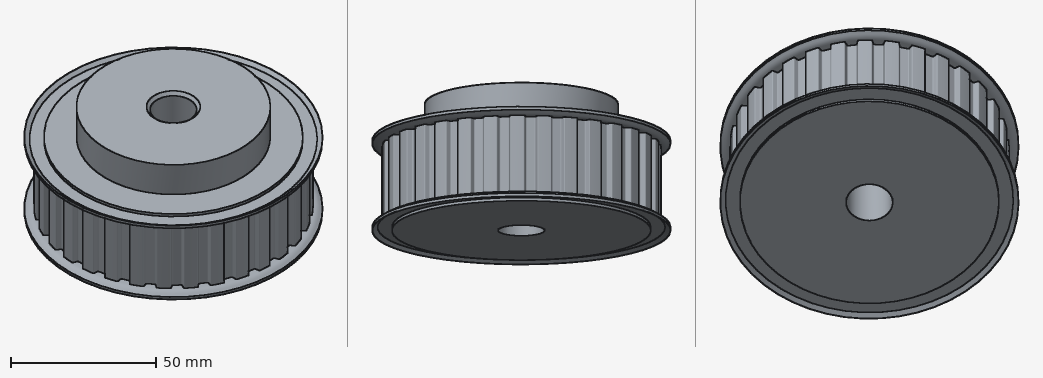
import cadquery as cq
import math

total_height = 44.5
rim_height = 31.7

tooth_count = 32
tooth_tip_radius = 48.1
groove_depth = 2.0
groove_floor_width = 3.2
groove_flank_angle = math.radians(20)
groove_edge_radius = 0.4

core_radius = 44.6
hub_radius = 33.4
bore_diameter = 16.0
bore_chamfer = 1.2

flange_radius = 51.4
flange_rim_thickness = 1.1
flange_recess = 1.1
flange_sheet_thickness = 1.2
dish_inner_radius = 49.5
flange_bend_radius = 3.6

flange_depth = flange_recess + flange_sheet_thickness
body_height = rim_height - 2 * flange_recess


def make_toothed_body():
    """Cylinder with evenly spaced belt grooves, one of them facing +X."""
    floor_radius = tooth_tip_radius - groove_depth
    floor_half = groove_floor_width / 2
    opening_radius = tooth_tip_radius + groove_depth
    opening_half = floor_half + 2 * groove_depth * math.tan(groove_flank_angle)
    groove = (
        cq.Workplane("XY")
        .polyline([
            (floor_radius, -floor_half),
            (opening_radius, -opening_half),
            (opening_radius, opening_half),
            (floor_radius, floor_half),
        ])
        .close()
        .extrude(body_height)
    )
    body = cq.Workplane("XY").circle(tooth_tip_radius).extrude(body_height)
    for index in range(tooth_count):
        body = body.cut(groove.rotate((0, 0, 0), (0, 0, 1), index * 360 / tooth_count))
    body = body.edges("|Z").fillet(groove_edge_radius)
    return body.translate((0, 0, flange_recess))


def make_flange():
    """Lower flange: flat ring with a rounded bend and a dished rim."""
    dish_angle = math.atan2(flange_recess, flange_radius - dish_inner_radius)
    corner_radius = flange_radius - (flange_depth - flange_rim_thickness) / math.tan(dish_angle)
    bend_setback = flange_bend_radius * math.tan(dish_angle / 2)
    bend_start = (
        corner_radius + bend_setback * math.cos(dish_angle),
        flange_depth - bend_setback * math.sin(dish_angle),
    )
    bend_end = (corner_radius - bend_setback, flange_depth)
    bend_middle = (
        bend_end[0] + flange_bend_radius * math.sin(dish_angle / 2),
        flange_depth - flange_bend_radius * (1 - math.cos(dish_angle / 2)),
    )
    return (
        cq.Workplane("XZ")
        .moveTo(0, flange_recess)
        .lineTo(dish_inner_radius, flange_recess)
        .lineTo(flange_radius, 0)
        .lineTo(flange_radius, flange_rim_thickness)
        .lineTo(*bend_start)
        .threePointArc(bend_middle, bend_end)
        .lineTo(0, flange_depth)
        .close()
        .revolve(360, (0, 0, 0), (0, 1, 0))
    )


def make_bore():
    """Through bore, chamfered at the hub face."""
    bore_radius = bore_diameter / 2
    return (
        cq.Workplane("XZ")
        .polyline([
            (0, 0),
            (bore_radius, 0),
            (bore_radius, total_height - bore_chamfer),
            (bore_radius + bore_chamfer, total_height),
            (0, total_height),
        ])
        .close()
        .revolve(360, (0, 0, 0), (0, 1, 0))
    )


core = cq.Workplane("XY").circle(core_radius).extrude(rim_height)
hub = cq.Workplane("XY").circle(hub_radius).extrude(total_height)
lower_flange = make_flange()
upper_flange = lower_flange.mirror("XY").translate((0, 0, rim_height))

result = (
    make_toothed_body()
    .union(core)
    .union(hub)
    .union(lower_flange)
    .union(upper_flange)
    .cut(make_bore())
)